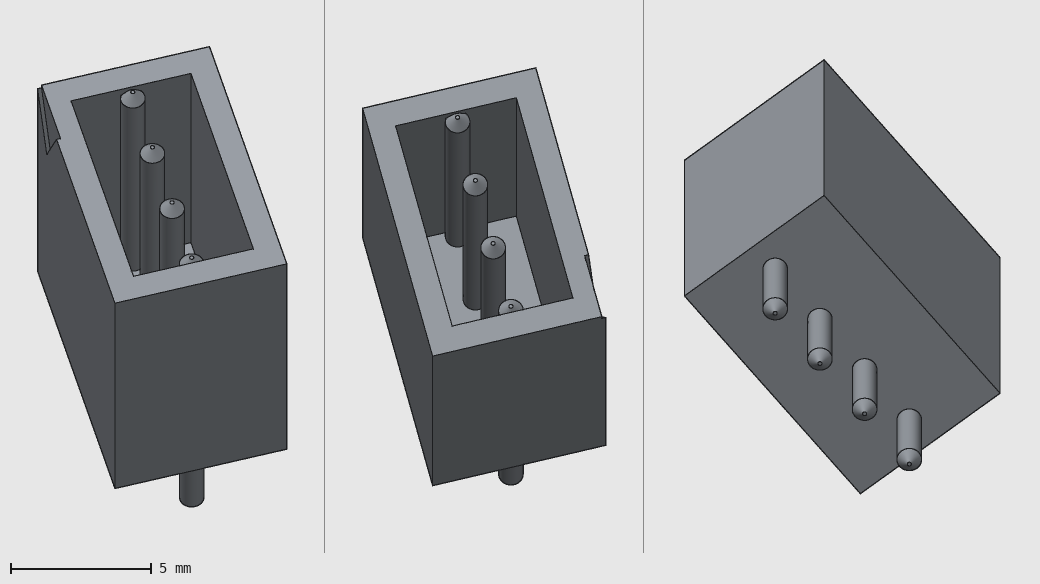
import cadquery as cq

housing_length = 10.01
housing_width = 6.35
wall = 0.96
floor_thickness = wall

pin_count = 4
pin_pitch = 2.54
pin_diameter = 0.88
pin_length = 14.61
pin_tail = 3.58
pin_tip = 0.37
housing_height = pin_length - pin_tail
first_pin_x = -pin_pitch * (pin_count - 1) / 2

marker_width = pin_pitch
marker_height = 2.54
marker_depth = 0.15


def make_pin(x):
    """Round pin with a chamfered tip at each end, on the row at the given X."""
    return (
        cq.Workplane("XY", origin=(x, 0, -pin_tail))
        .circle(pin_diameter / 2)
        .extrude(pin_length)
        .faces("<Z or >Z")
        .chamfer(pin_tip)
    )


def make_marker():
    """Triangular prism that cuts the marker above the first pin."""
    front_y = -housing_width / 2
    return (
        cq.Workplane("XZ", origin=(first_pin_x, front_y, housing_height))
        .moveTo(-marker_width / 2, 0)
        .lineTo(marker_width / 2, 0)
        .lineTo(0, -marker_height)
        .close()
        .extrude(-marker_depth)
    )


def make_housing(pins):
    """Box with a cavity, the marker and a matching hole for every pin."""
    cavity = (
        cq.Workplane("XY", origin=(0, 0, floor_thickness))
        .rect(housing_length - 2 * wall, housing_width - 2 * wall)
        .extrude(housing_height - floor_thickness)
    )
    body = (
        cq.Workplane("XY")
        .rect(housing_length, housing_width)
        .extrude(housing_height)
        .cut(cavity)
        .cut(make_marker())
    )
    for pin in pins:
        body = body.cut(pin)
    return body


pins = [make_pin(first_pin_x + i * pin_pitch) for i in range(pin_count)]
housing = make_housing(pins)

result = cq.Compound.makeCompound([housing.val(), *[pin.val() for pin in pins]])